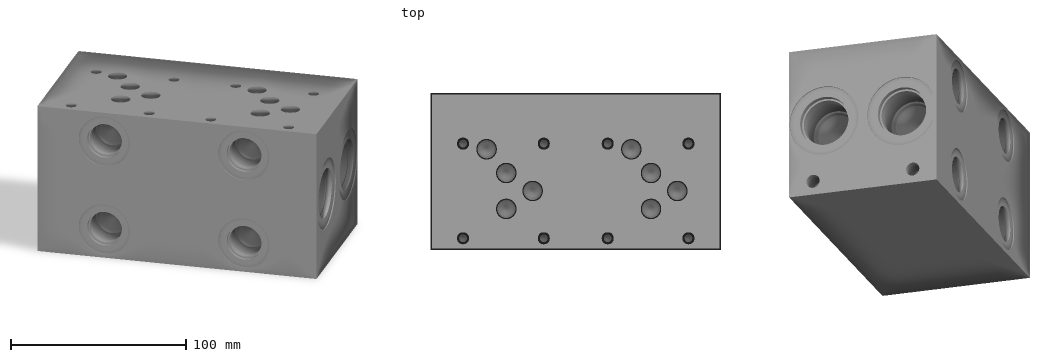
import cadquery as cq
import math

LENGTH = 165.1
WIDTH = 88.8
HEIGHT = 88.8

DRILL_POINT_ANGLE = 118.0

SPOTFACE_DEPTH = 0.7

END_PORT_SPOTFACE = 41.5
END_PORT_ENTRY = 29.2
END_PORT_THREAD = 26.9
END_PORT_TAPER = 25.0
END_PORT_PILOT = 23.0
END_PORT_ENTRY_DEPTH = 3.8
END_PORT_THREAD_DEPTH = 21.5
END_PORT_PILOT_DEPTH = 23.1
END_PORT_OFFSET_Y = 23.5

FRONT_PORT_SPOTFACE = 30.2
FRONT_PORT_ENTRY = 20.6
FRONT_PORT_THREAD = 19.0
FRONT_PORT_TAPER = 17.5
FRONT_PORT_PILOT = 15.8
FRONT_PORT_ENTRY_DEPTH = 3.3
FRONT_PORT_THREAD_DEPTH = 16.5
FRONT_PORT_PILOT_DEPTH = 18.2
FRONT_PORT_OFFSET_Z = 26.9

STATION_PITCH = 82.5
STATION_CENTERS = (-STATION_PITCH / 2, STATION_PITCH / 2)
STATION_Y = -11.0
FRONT_PORT_SHIFT_X = -1.7

BOLT_SPACING_X = 46.0
BOLT_SPACING_Y = 54.0
BOLT_THREAD = 6.3
BOLT_PILOT = 5.1
BOLT_THREAD_DEPTH = 13.2
BOLT_PILOT_DEPTH = 16.5

FLOW_HOLE = 11.0
FLOW_HOLE_DEPTH = 3.8
WORK_HOLE_X = 1.7
WORK_HOLE_Y = 10.2
PRESSURE_HOLE_X = 16.7
TANK_HOLE_X = -9.5
TANK_HOLE_Y = 23.8
FLOW_HOLE_OFFSETS = (
    (WORK_HOLE_X, WORK_HOLE_Y),
    (WORK_HOLE_X, -WORK_HOLE_Y),
    (PRESSURE_HOLE_X, 0.0),
    (TANK_HOLE_X, TANK_HOLE_Y),
)

MOUNT_THREAD = 8.0
MOUNT_PILOT = 6.6
MOUNT_THREAD_DEPTH = 13.2
MOUNT_PILOT_DEPTH = 16.5
MOUNT_OFFSET_Y = 30.0
MOUNT_HEIGHT = 8.1

UP = (0, 0, 1)
TOWARD_FRONT = (0, -1, 0)
TOWARD_LEFT = (-1, 0, 0)
TOWARD_RIGHT = (1, 0, 0)


def revolved_cutter(steps):
    """Turn (diameter, depth) steps into a cutter along -Z that ends in a drill point."""
    last_diameter, last_depth = steps[-1]
    point_depth = last_depth + last_diameter / 2 / math.tan(math.radians(DRILL_POINT_ANGLE / 2))
    outline = [(0, 0)]
    outline += [(diameter / 2, -depth) for diameter, depth in steps]
    outline.append((0, -point_depth))
    return cq.Workplane("XZ").polyline(outline).close().revolve(360, (0, 0), (0, 1)).val()


def port_cutter(spotface, entry, thread, taper, pilot, entry_depth, thread_depth, pilot_depth):
    """O-ring port; its bore narrows from the taper diameter to the pilot diameter below the thread."""
    return revolved_cutter([
        (spotface, 0),
        (spotface, SPOTFACE_DEPTH),
        (entry, SPOTFACE_DEPTH),
        (entry, entry_depth),
        (thread, entry_depth),
        (thread, thread_depth),
        (taper, thread_depth),
        (pilot, pilot_depth),
    ])


def tapped_cutter(thread, pilot, thread_depth, pilot_depth):
    """Thread-diameter bore with a slightly deeper pilot drill below it."""
    return revolved_cutter([
        (thread, 0),
        (thread, thread_depth),
        (pilot, thread_depth),
        (pilot, pilot_depth),
    ])


def cut_holes(body, cutter, outward, mouths):
    """Cut one hole at each mouth point, entering against the outward face normal."""
    for mouth in mouths:
        body = body.cut(cutter.moved(cq.Plane(origin=mouth, normal=outward).location))
    return body


end_port = port_cutter(
    END_PORT_SPOTFACE, END_PORT_ENTRY, END_PORT_THREAD, END_PORT_TAPER, END_PORT_PILOT,
    END_PORT_ENTRY_DEPTH, END_PORT_THREAD_DEPTH, END_PORT_PILOT_DEPTH,
)
front_port = port_cutter(
    FRONT_PORT_SPOTFACE, FRONT_PORT_ENTRY, FRONT_PORT_THREAD, FRONT_PORT_TAPER, FRONT_PORT_PILOT,
    FRONT_PORT_ENTRY_DEPTH, FRONT_PORT_THREAD_DEPTH, FRONT_PORT_PILOT_DEPTH,
)
bolt_hole = tapped_cutter(BOLT_THREAD, BOLT_PILOT, BOLT_THREAD_DEPTH, BOLT_PILOT_DEPTH)
mount_hole = tapped_cutter(MOUNT_THREAD, MOUNT_PILOT, MOUNT_THREAD_DEPTH, MOUNT_PILOT_DEPTH)
flow_hole = revolved_cutter([(FLOW_HOLE, 0), (FLOW_HOLE, FLOW_HOLE_DEPTH)])

result = cq.Workplane("XY").box(LENGTH, WIDTH, HEIGHT)

for outward, end_x in ((TOWARD_LEFT, -LENGTH / 2), (TOWARD_RIGHT, LENGTH / 2)):
    mouths = [(end_x, y, 0) for y in (-END_PORT_OFFSET_Y, END_PORT_OFFSET_Y)]
    result = cut_holes(result, end_port, outward, mouths)

mount_z = MOUNT_HEIGHT - HEIGHT / 2
mouths = [(-LENGTH / 2, y, mount_z) for y in (-MOUNT_OFFSET_Y, MOUNT_OFFSET_Y)]
result = cut_holes(result, mount_hole, TOWARD_LEFT, mouths)

for station_x in STATION_CENTERS:
    port_x = station_x + FRONT_PORT_SHIFT_X
    mouths = [(port_x, -WIDTH / 2, z) for z in (-FRONT_PORT_OFFSET_Z, FRONT_PORT_OFFSET_Z)]
    result = cut_holes(result, front_port, TOWARD_FRONT, mouths)

    mouths = [
        (station_x + side_x * BOLT_SPACING_X / 2, STATION_Y + side_y * BOLT_SPACING_Y / 2, HEIGHT / 2)
        for side_x in (-1, 1)
        for side_y in (-1, 1)
    ]
    result = cut_holes(result, bolt_hole, UP, mouths)

    mouths = [(station_x + dx, STATION_Y + dy, HEIGHT / 2) for dx, dy in FLOW_HOLE_OFFSETS]
    result = cut_holes(result, flow_hole, UP, mouths)